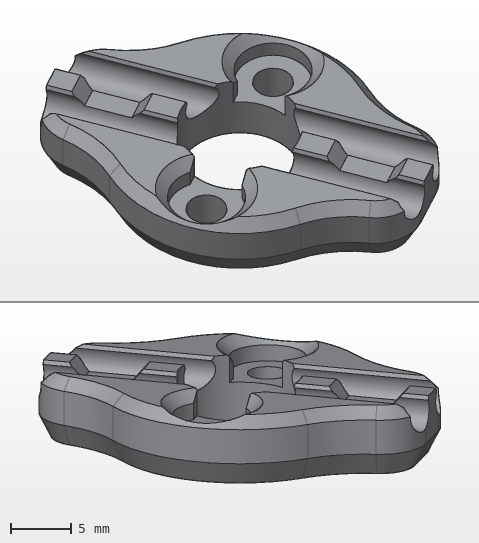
import cadquery as cq
import math

length = 33.5
thickness = 6.0
width = 23.95
main_radius = width / 2
neck_radius = 10.0
corner_radius = 4.0
top_chamfer = 1.0
base_inset = 1.0
base_height = 2.0

bore_diameter = 10.5
screw_offset = 8.07
screw_diameter = 3.4
head_radius = 3.25
head_depth = 2.4
countersink = 1.0

groove_offset = 2.5
groove_radius = 1.55
groove_depth = 1.17
lip_half_gap = 1.3
mouth_half_gap = 1.47
dip_depth = 1.35
dip_inner_x = 8.1
dip_outer_x = 14.5
dip_ramp = 1.1

half_length = length / 2
neck_center = (main_radius + neck_radius) * math.sqrt(0.5)
corner_x = half_length - corner_radius
corner_y = neck_center - math.sqrt((neck_radius + corner_radius) ** 2 - (neck_center - corner_x) ** 2)


def between(start, end, fraction):
    return tuple(a + (b - a) * fraction for a, b in zip(start, end))


def arc_middle(center, radius, start, end):
    """Point halfway along the short arc from start to end."""
    dx = (start[0] + end[0]) / 2 - center[0]
    dy = (start[1] + end[1]) / 2 - center[1]
    scale = radius / math.hypot(dx, dy)
    return (center[0] + dx * scale, center[1] + dy * scale)


def outline(inset):
    """Closed tangent-arc outline at the base plane, moved inward by inset."""
    neck = (neck_center, neck_center)
    corner = (corner_x, corner_y)
    big = main_radius - inset
    concave = neck_radius + inset
    small = corner_radius - inset
    main_joint = between((0, 0), neck, big / (main_radius + neck_radius))
    corner_joint = between(corner, neck, small / (neck_radius + corner_radius))
    end_point = (half_length - inset, corner_y)

    neck_middle = arc_middle(neck, concave, main_joint, corner_joint)
    corner_middle = arc_middle(corner, small, corner_joint, end_point)

    def placed(point, sx, sy):
        return (point[0] * sx, point[1] * sy)

    wire = cq.Workplane("XY").moveTo(*placed(main_joint, -1, 1))
    for side in (1, -1):
        wire = (
            wire.threePointArc((0, side * big), placed(main_joint, side, side))
            .threePointArc(placed(neck_middle, side, side), placed(corner_joint, side, side))
            .threePointArc(placed(corner_middle, side, side), placed(end_point, side, side))
            .lineTo(*placed(end_point, side, -side))
            .threePointArc(placed(corner_middle, side, -side), placed(corner_joint, side, -side))
            .threePointArc(placed(neck_middle, side, -side), placed(main_joint, side, -side))
        )
    return wire.close().wires().val()


def tapered_layer(lower_inset, upper_inset, bottom, top):
    lower = outline(lower_inset).translate(cq.Vector(0, 0, bottom))
    upper = outline(upper_inset).translate(cq.Vector(0, 0, top))
    return cq.Workplane(cq.Solid.makeLoft([lower, upper], True))


def plate():
    shoulder = thickness - top_chamfer
    body = tapered_layer(base_inset, 0, 0, base_height)
    body = body.union(tapered_layer(0, 0, base_height, shoulder))
    body = body.union(tapered_layer(0, top_chamfer, shoulder, thickness))
    end_block = cq.Workplane("XY").box(length, 2 * corner_y, top_chamfer, centered=(True, True, False))
    return body.union(end_block.translate((0, 0, shoulder)))


def groove(y):
    """Round channel along X that narrows to a lip and flares at its mouth."""
    axis_z = thickness - groove_depth
    lip_z = axis_z + math.sqrt(groove_radius**2 - lip_half_gap**2)
    return (
        cq.Workplane("YZ", origin=(-half_length, 0, 0))
        .moveTo(y - mouth_half_gap, thickness)
        .lineTo(y - lip_half_gap, lip_z)
        .threePointArc((y, axis_z - groove_radius), (y + lip_half_gap, lip_z))
        .lineTo(y + mouth_half_gap, thickness)
        .close()
        .extrude(length)
    )


def rib_dip(side):
    """Lowered stretch of the rib with a sloped ramp at both ends."""
    floor_z = thickness - dip_depth
    profile = [
        (side * dip_inner_x, thickness),
        (side * (dip_inner_x + dip_ramp), floor_z),
        (side * (dip_outer_x - dip_ramp), floor_z),
        (side * dip_outer_x, thickness),
    ]
    return cq.Workplane("XZ").polyline(profile).close().extrude(groove_offset, both=True)


def screw_seat(y):
    """Through hole with a flat head recess and a 45-degree mouth."""
    screw_radius = screw_diameter / 2
    profile = [
        (0, 0),
        (screw_radius, 0),
        (screw_radius, thickness - head_depth),
        (head_radius, thickness - head_depth),
        (head_radius, thickness - countersink),
        (head_radius + countersink, thickness),
        (0, thickness),
    ]
    seat = cq.Workplane("XZ").polyline(profile).close().revolve(360, (0, 0, 0), (0, 1, 0))
    return seat.translate((0, y, 0))


def head_relief(y):
    """Straight-sided opening from the head recess into the bore."""
    relief_width = head_radius * math.sqrt(2)
    relief = cq.Workplane("XY").box(relief_width, abs(y), head_depth, centered=(True, True, False))
    return relief.translate((0, y / 2, thickness - head_depth))


result = plate()
result = result.cut(cq.Workplane("XY").circle(bore_diameter / 2).extrude(thickness))
for side in (1, -1):
    result = result.cut(rib_dip(side))
    result = result.cut(groove(side * groove_offset))
    result = result.cut(screw_seat(side * screw_offset))
    result = result.cut(head_relief(side * screw_offset))